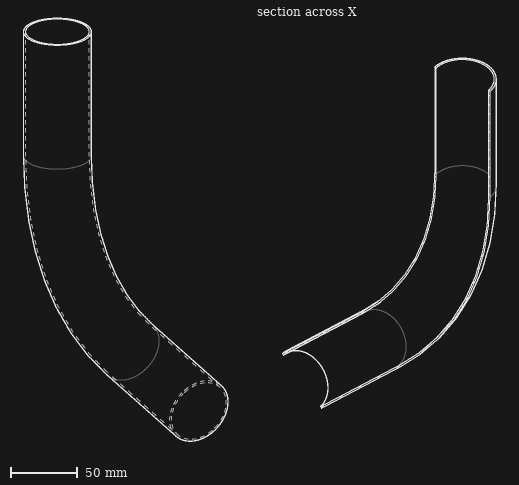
import cadquery as cq
import math

overall_height = 371.0
outer_diameter = 51.0
inner_diameter = 47.5
straight_length = 101.0
bend_angle = 45.0

bend_sin = math.sin(math.radians(bend_angle))
bend_cos = math.cos(math.radians(bend_angle))
outer_radius = outer_diameter / 2
bend_height = overall_height - straight_length * (1 + bend_cos) - outer_radius * bend_sin
bend_radius = bend_height / bend_sin


def pipe_section(plane):
    """Ring between the inner and outer pipe walls on the given plane."""
    return cq.Workplane(plane).circle(outer_radius).circle(inner_diameter / 2)


upper_straight = pipe_section("XY").extrude(straight_length)

bend = pipe_section("XY").revolve(bend_angle, (0, bend_radius, 0), (1, bend_radius, 0))

bend_end = (0, bend_radius * (1 - bend_cos), -bend_height)
lower_direction = (0, bend_sin, -bend_cos)
lower_plane = cq.Plane(origin=bend_end, xDir=(1, 0, 0), normal=lower_direction)
lower_straight = pipe_section(lower_plane).extrude(straight_length)

result = upper_straight.union(bend).union(lower_straight)